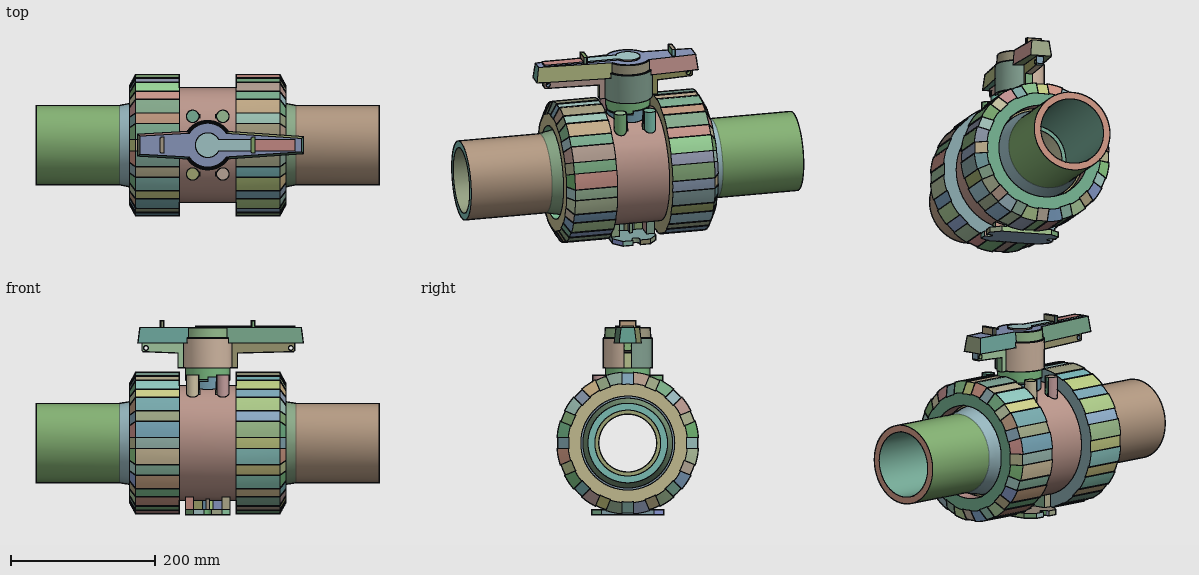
import cadquery as cq


total_length = 474.0

body_radius = 79.5
body_half_length = 66.5
body_bore_radius = 40.0

collar_radius = 29.5
collar_top = 85.5
stop_top = 91.0

post_radius = 8.5
post_x = 21.0
post_y = 40.0
post_top = 94.0
gusset_thickness = 5.0
gusset_top_x = 12.5
gusset_foot_x = 9.0

foot_half_x = 31.0
foot_half_y = 50.0
foot_bottom = -99.0
foot_thickness = 7.0
foot_corner_x = 11.5
foot_corner_y = 13.7
foot_slot_radius = 5.0
foot_slot_depth = 10.0
foot_leg_width = 11.5
foot_leg_half_y = 29.0
foot_web_half_y = 7.0
foot_boss_radius = 10.0
foot_rib_width = 4.5
foot_rib_half_y = 19.0

nut_inner_x = 39.5
nut_outer_x = 108.0
nut_radius = 98.0
nut_face_radius = 82.5
nut_bevel_length = 8.5
nut_hole_radius = 65.0
nut_lip_length = 22.8
groove_count = 16
groove_width = 15.5
groove_depth = 1.2

pipe_radius = 55.0
pipe_bore_radius = 45.5
pipe_straight_start = 122.0
hub_radius = 62.0

grip_top = 159.7
grip_bottom = 138.0
grip_left_x = -96.5
grip_right_x = 132.2
grip_left_half_width = 15.0
grip_middle_half_width = 20.0
grip_right_half_width = 12.0
grip_middle_half_length = 14.0
grip_draft = 7.4

cap_top_radius = 31.5
cap_foot_radius = 32.0
hub_edge_bevel = 1.0
sleeve_radius = 34.0
sleeve_top = 145.5
sleeve_bottom = 104.0
neck_radius = 31.0
neck_bevel_top = 87.5

fin_thickness = 10.0
fin_left_x = -91.0
fin_right_x = 120.5
fin_end_z = 126.0
fin_middle_z = 124.0
fin_root_half_length = 41.2
fin_corner = 2.0
fin_hole_radius = 3.1
fin_hole_inset = 5.5
fin_hole_z = 131.5

label_height = 2.0
label_radius = 17.0
label_bar_width = 15.5
label_bar_end_x = 120.5

tab_x_places = (-63.0, 62.5)
tab_thickness = 5.0
tab_width = 22.5
tab_bevel = 1.5
tab_top = 169.0

half_length = total_length / 2
nut_lip_x = nut_outer_x - nut_lip_length
foot_top = foot_bottom + foot_thickness


def centred_box(size_x, size_y, bottom, top):
    """Box centred on the stem axis, between two heights."""
    return cq.Workplane("XY").workplane(offset=bottom).rect(size_x, size_y).extrude(top - bottom)


def upright_cylinder(radius, bottom, top, x=0, y=0):
    return cq.Workplane("XY").workplane(offset=bottom).center(x, y).circle(radius).extrude(top - bottom)


def x_cylinder(radius, half_span):
    """Cylinder along the pipe axis, centred on the origin."""
    return cq.Workplane("YZ").circle(radius).extrude(half_span, both=True)


def stop_quadrants(bottom, top):
    """Two opposite quarter boxes that reach past the collar and neck."""
    size = 2 * neck_radius
    height = top - bottom
    front = cq.Workplane("XY").box(size, size, height, centered=False).translate((0, -size, bottom))
    return front.union(front.rotate((0, 0, 0), (0, 0, 1), 180))


def make_stem_collar():
    """Collar round the stem, with two raised quarters that limit the handle's turn."""
    stops = upright_cylinder(collar_radius, 0, stop_top).intersect(stop_quadrants(0, stop_top))
    return upright_cylinder(collar_radius, 0, collar_top).union(stops)


def make_posts():
    """Four round posts, each with a small gusset on the side facing the middle."""
    posts = cq.Workplane("XY")
    for side_x in (-1, 1):
        for side_y in (-1, 1):
            post = upright_cylinder(post_radius, 0, post_top, side_x * post_x, side_y * post_y)
            gusset = (
                cq.Workplane("XZ")
                .polyline(
                    [
                        (side_x * post_x, post_top),
                        (side_x * gusset_top_x, post_top),
                        (side_x * gusset_foot_x, body_radius / 2),
                        (side_x * post_x, body_radius / 2),
                    ]
                )
                .close()
                .extrude(gusset_thickness / 2, both=True)
                .translate((0, side_y * post_y, 0))
            )
            posts = posts.union(post).union(gusset)
    return posts


def make_foot():
    """Mounting plate under the body, with its legs, web, boss and rib."""
    corner_x = foot_half_x - foot_corner_x
    corner_y = foot_half_y - foot_corner_y
    plate = (
        cq.Workplane("XY")
        .workplane(offset=foot_bottom)
        .polyline(
            [
                (-foot_half_x, -corner_y),
                (-corner_x, -foot_half_y),
                (corner_x, -foot_half_y),
                (foot_half_x, -corner_y),
                (foot_half_x, corner_y),
                (corner_x, foot_half_y),
                (-corner_x, foot_half_y),
                (-foot_half_x, corner_y),
            ]
        )
        .close()
        .extrude(foot_thickness)
    )
    slots = (
        cq.Workplane("XY")
        .workplane(offset=foot_bottom)
        .pushPoints([(0, -foot_half_y), (0, foot_half_y)])
        .slot2D(2 * foot_slot_depth, 2 * foot_slot_radius, 90)
        .extrude(foot_thickness)
    )
    foot = plate.cut(slots)
    leg_x = foot_half_x - foot_leg_width / 2
    leg = centred_box(foot_leg_width, 2 * foot_leg_half_y, foot_top, 0)
    for side_x in (-1, 1):
        foot = foot.union(leg.translate((side_x * leg_x, 0, 0)))
    foot = foot.union(centred_box(2 * foot_half_x, 2 * foot_web_half_y, foot_top, 0))
    foot = foot.union(upright_cylinder(foot_boss_radius, foot_top, 0))
    return foot.union(centred_box(foot_rib_width, 2 * foot_rib_half_y, foot_top, 0))


def make_body():
    barrel = x_cylinder(body_radius, body_half_length)
    body = barrel.union(make_stem_collar()).union(make_posts()).union(make_foot())
    return body.cut(x_cylinder(body_bore_radius, body_half_length))


def nut_blank(radius, face_radius):
    """Solid of revolution with a bevelled outer end."""
    return (
        cq.Workplane("XY")
        .polyline(
            [
                (nut_inner_x, 0),
                (nut_inner_x, radius),
                (nut_outer_x - nut_bevel_length, radius),
                (nut_outer_x, face_radius),
                (nut_outer_x, 0),
            ]
        )
        .close()
        .revolve(360, (0, 0, 0), (1, 0, 0))
    )


def make_nut():
    """Nut on the +X side: grip grooves outside, body socket and end lip inside."""
    nut = nut_blank(nut_radius, nut_face_radius)
    core = nut_blank(nut_radius - groove_depth, nut_face_radius - groove_depth)
    groove = (
        cq.Workplane("YZ")
        .workplane(offset=nut_inner_x)
        .center(0, nut_radius)
        .rect(groove_width, nut_radius)
        .extrude(nut_outer_x - nut_inner_x)
    )
    for index in range(groove_count):
        nut = nut.cut(groove.rotate((0, 0, 0), (1, 0, 0), index * 360 / groove_count))
    nut = nut.union(core)
    return nut.cut(x_cylinder(nut_hole_radius, half_length)).cut(x_cylinder(body_radius, nut_lip_x))


def make_connector():
    """Connector on the +X side: flange held by the nut, conical hub and pipe end."""
    return (
        cq.Workplane("XY")
        .polyline(
            [
                (body_half_length, pipe_bore_radius),
                (body_half_length, body_radius),
                (nut_lip_x, body_radius),
                (nut_lip_x, hub_radius),
                (pipe_straight_start, pipe_radius),
                (half_length, pipe_radius),
                (half_length, pipe_bore_radius),
            ]
        )
        .close()
        .revolve(360, (0, 0, 0), (1, 0, 0))
    )


def make_grip():
    """Two-armed lever, widest at the stem, with drafted sides and ends."""
    return (
        cq.Workplane("XY")
        .workplane(offset=grip_bottom)
        .polyline(
            [
                (grip_left_x, -grip_left_half_width),
                (-grip_middle_half_length, -grip_middle_half_width),
                (grip_middle_half_length, -grip_middle_half_width),
                (grip_right_x, -grip_right_half_width),
                (grip_right_x, grip_right_half_width),
                (grip_middle_half_length, grip_middle_half_width),
                (-grip_middle_half_length, grip_middle_half_width),
                (grip_left_x, grip_left_half_width),
            ]
        )
        .close()
        .extrude(grip_top - grip_bottom, taper=grip_draft)
    )


def make_handle_hub():
    """Stepped hub: tapered cap, sleeve, and a neck bevelled down to the collar."""
    hub = (
        cq.Workplane("XZ")
        .polyline(
            [
                (0, collar_top),
                (collar_radius, collar_top),
                (neck_radius, neck_bevel_top),
                (neck_radius, sleeve_bottom),
                (sleeve_radius, sleeve_bottom),
                (sleeve_radius, sleeve_top - hub_edge_bevel),
                (sleeve_radius - hub_edge_bevel, sleeve_top),
                (cap_foot_radius, sleeve_top),
                (cap_top_radius, grip_top - hub_edge_bevel),
                (cap_top_radius - hub_edge_bevel, grip_top),
                (0, grip_top),
            ]
        )
        .close()
        .revolve(360, (0, 0, 0), (0, 1, 0))
    )
    return hub.cut(stop_quadrants(collar_top, stop_top))


def make_fin():
    """Thin web under the grip, deeper at the hub, with a hole near each end."""
    fin = (
        cq.Workplane("XZ")
        .polyline(
            [
                (fin_left_x, grip_bottom),
                (fin_left_x, fin_end_z + fin_corner),
                (fin_left_x + fin_corner, fin_end_z),
                (-fin_root_half_length, fin_middle_z),
                (-fin_root_half_length, sleeve_bottom),
                (fin_root_half_length, sleeve_bottom),
                (fin_root_half_length, fin_middle_z),
                (fin_right_x - fin_corner, fin_end_z),
                (fin_right_x, fin_end_z + fin_corner),
                (fin_right_x, grip_bottom),
            ]
        )
        .close()
        .extrude(fin_thickness / 2, both=True)
    )
    holes = (
        cq.Workplane("XZ")
        .pushPoints(
            [
                (fin_left_x + fin_hole_inset, fin_hole_z),
                (fin_right_x - fin_hole_inset, fin_hole_z),
            ]
        )
        .circle(fin_hole_radius)
        .extrude(fin_thickness, both=True)
    )
    return fin.cut(holes)


def make_label():
    """Raised disc on the hub with a bar along the longer arm."""
    disc = upright_cylinder(label_radius, grip_top, grip_top + label_height)
    bar = (
        cq.Workplane("XY")
        .box(label_bar_end_x, label_bar_width, label_height, centered=(False, True, False))
        .translate((0, 0, grip_top))
    )
    return disc.union(bar)


def make_tab(centre_x):
    """Upright tab across an arm, with its -X edges bevelled."""
    return (
        centred_box(tab_thickness, tab_width, grip_top, tab_top)
        .edges("|Z and <X")
        .chamfer(tab_bevel)
        .translate((centre_x, 0, 0))
    )


def make_handle():
    handle = make_grip().union(make_handle_hub()).union(make_fin()).union(make_label())
    for centre_x in tab_x_places:
        handle = handle.union(make_tab(centre_x))
    return handle


body = make_body()
handle = make_handle()

paired_solids = []
for right_part in (make_nut(), make_connector()):
    paired_solids.append(right_part.val())
    paired_solids.append(right_part.mirror("YZ").val())

result = cq.Compound.makeCompound([body.val(), handle.val(), *paired_solids])